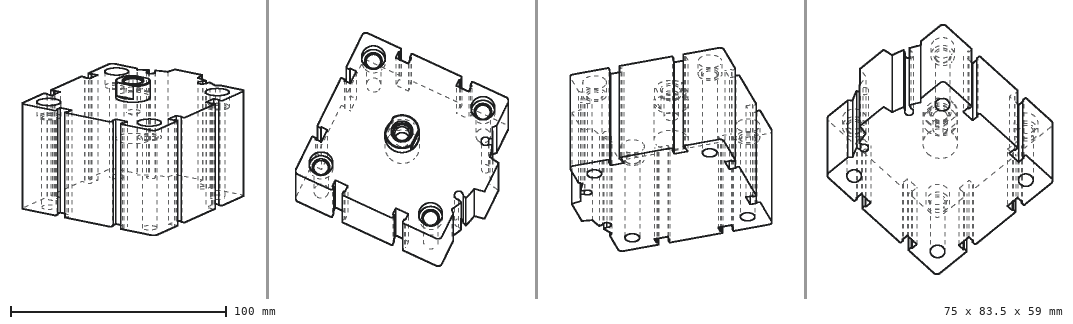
import math

import cadquery as cq

body_width = 75.0
body_height = 51.0
corner_radius = 2.0
half_width = body_width / 2

overall_depth = 83.5
crown_top = overall_depth - half_width
crown_top_half_width = 7.6
crown_base_half_width = 8.4
crown_fillet = 0.2
arc_radius = 42.0
notch_start = 23.3

slot_offset = 15.5
slot_mouth = 5.2
slot_width = 6.4
slot_depth = 5.0
slot_lip = 1.9
slot_lip_radius = 0.4

groove_angle = 21.7
groove_radius = 2.0
groove_centre_distance = 38.75
groove_mouth = 2.9

hole_offset = 28.1
hole_diameter = 6.8
hole_chamfer_diameter = 8.0
counterbore_diameter = 11.0
counterbore_depth = 6.9

rod_diameter = 16.0
rod_projection = 8.0
rod_seat_depth = 20.0
rod_chamfer = 0.3
flat_spacing = 13.2
flat_height = 6.5

rod_hole_diameter = 8.4
rod_hole_rim_diameter = 10.0
rod_hole_depth = 3.5
rod_drill_diameter = 6.7
rod_drill_depth = 15.0
cone_angle = 120.0

tolerance = 0.01
rod_radius = rod_diameter / 2
rod_length = rod_seat_depth + rod_projection
rod_bottom = body_height - rod_seat_depth
rod_top = body_height + rod_projection


def arc_point(x):
    """Point of the back arc at the given X."""
    return (x, math.sqrt(arc_radius**2 - x**2))


def is_outer_corner(edge):
    centre = edge.Center()
    return all(abs(abs(v) - half_width) < tolerance for v in (centre.x, centre.y))


def is_crown_edge(edge):
    centre = edge.Center()
    return abs(centre.x) < crown_base_half_width - tolerance and centre.y > half_width


def make_block():
    """Extruded housing outline without its slots and holes."""
    wall_rise = half_width - notch_start
    notch_tip_x = (math.sqrt(2 * arc_radius**2 - wall_rise**2) - wall_rise) / 2
    arc_middle_x = (notch_tip_x + crown_base_half_width) / 2
    block = (
        cq.Workplane("XY")
        .moveTo(0, -half_width)
        .lineTo(half_width, -half_width)
        .lineTo(half_width, half_width)
        .lineTo(notch_start, half_width)
        .lineTo(*arc_point(notch_tip_x))
        .threePointArc(arc_point(arc_middle_x), arc_point(crown_base_half_width))
        .lineTo(crown_top_half_width, crown_top)
        .lineTo(0, crown_top)
        .mirrorY()
        .extrude(body_height)
    )
    block = block.edges("|Z").filter(is_outer_corner).fillet(corner_radius)
    return block.edges("|Z").filter(is_crown_edge).fillet(crown_fillet)


def t_slot(x):
    """T-slot cutter with a rounded mouth, opening through the front (-Y) side at the given X."""
    mouth = slot_mouth / 2
    half_slot = slot_width / 2
    r = slot_lip_radius
    bend = r * (1 - math.sqrt(0.5))
    profile = (
        cq.Workplane("XY")
        .moveTo(-mouth - r, 0)
        .threePointArc((-mouth - bend, bend), (-mouth, r))
        .lineTo(-mouth, slot_lip)
        .lineTo(-half_slot, slot_lip)
        .lineTo(-half_slot, slot_depth)
        .lineTo(half_slot, slot_depth)
        .lineTo(half_slot, slot_lip)
        .lineTo(mouth, slot_lip)
        .lineTo(mouth, r)
        .threePointArc((mouth + bend, bend), (mouth + r, 0))
        .close()
    )
    return profile.extrude(body_height).translate((x, -half_width, 0))


def sensor_groove(angle):
    """Keyhole-shaped groove cutter, turned from +Y by the given angle."""
    mouth_length = arc_radius - groove_centre_distance + groove_radius
    bulb = cq.Workplane("XY").center(0, groove_centre_distance).circle(groove_radius).extrude(body_height)
    mouth = (
        cq.Workplane("XY")
        .center(0, groove_centre_distance + mouth_length / 2)
        .rect(groove_mouth, mouth_length)
        .extrude(body_height)
    )
    return bulb.union(mouth).rotate((0, 0, 0), (0, 0, 1), angle)


def mounting_hole():
    """Cutter for one through hole with a 45 degree chamfer below the counterbore."""
    seat = body_height - counterbore_depth
    chamfer = (hole_chamfer_diameter - hole_diameter) / 2
    return (
        cq.Workplane("XZ")
        .moveTo(0, 0)
        .lineTo(hole_diameter / 2, 0)
        .lineTo(hole_diameter / 2, seat - chamfer)
        .lineTo(hole_chamfer_diameter / 2, seat)
        .lineTo(counterbore_diameter / 2, seat)
        .lineTo(counterbore_diameter / 2, body_height)
        .lineTo(0, body_height)
        .close()
        .revolve(360, (0, 0, 0), (0, 1, 0))
    )


def make_housing():
    housing = make_block()
    for side_angle in (-90, 0, 90):
        for x in (-slot_offset, slot_offset):
            housing = housing.cut(t_slot(x).rotate((0, 0, 0), (0, 0, 1), side_angle))
    for angle in (-groove_angle, groove_angle):
        housing = housing.cut(sensor_groove(angle))
    for x in (-hole_offset, hole_offset):
        for y in (-hole_offset, hole_offset):
            housing = housing.cut(mounting_hole().translate((x, y, 0)))
    rod_bore = cq.Workplane("XY").workplane(offset=rod_bottom).circle(rod_radius).extrude(rod_seat_depth)
    return housing.cut(rod_bore)


def rod_end_hole():
    """Cutter for the chamfered, stepped and cone-bottomed hole in the rod end."""
    rim_radius = rod_hole_rim_diameter / 2
    hole_radius = rod_hole_diameter / 2
    drill_radius = rod_drill_diameter / 2
    cone_slope = 1 / math.tan(math.radians(cone_angle / 2))
    rim_height = (rim_radius - hole_radius) * cone_slope
    step_height = (hole_radius - drill_radius) * cone_slope
    point_height = drill_radius * cone_slope
    return (
        cq.Workplane("XZ")
        .moveTo(0, rod_top)
        .lineTo(rim_radius, rod_top)
        .lineTo(hole_radius, rod_top - rim_height)
        .lineTo(hole_radius, rod_top - rod_hole_depth)
        .lineTo(drill_radius, rod_top - rod_hole_depth - step_height)
        .lineTo(drill_radius, rod_top - rod_drill_depth)
        .lineTo(0, rod_top - rod_drill_depth - point_height)
        .close()
        .revolve(360, (0, 0, 0), (0, 1, 0))
    )


def make_rod():
    rod = cq.Workplane("XY").workplane(offset=rod_bottom).circle(rod_radius).extrude(rod_length)
    rod = rod.faces(">Z").edges().chamfer(rod_chamfer)
    for side in (-1, 1):
        flat = (
            cq.Workplane("XY")
            .workplane(offset=rod_top - flat_height)
            .center(0, side * (flat_spacing + rod_radius) / 2)
            .rect(rod_diameter, rod_radius)
            .extrude(flat_height)
        )
        rod = rod.cut(flat)
    return rod.cut(rod_end_hole())


housing = make_housing()
rod = make_rod()

result = cq.Compound.makeCompound([housing.val(), rod.val()])